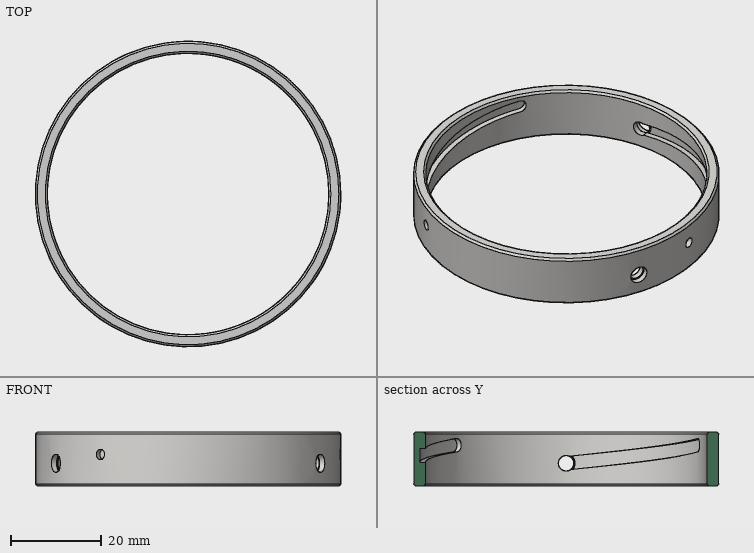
import cadquery as cq
import math

outer_radius = 33.8
inner_radius = 31.1
height = 12.0
edge_chamfer = 0.5

through_hole_angles = (90, 210, 330)
through_hole_z = 5.1
entry_diameter = 4.0
entry_depth = 1.35
exit_diameter = 3.4

blind_hole_angles = (115, 235, 355)
blind_hole_z = 7.0
blind_hole_diameter = 2.2
blind_hole_depth = 1.35

groove_sweep = 69
groove_rise = 4.0
groove_width = 3.0
groove_depth = 1.2


def sleeve(inside, outside):
    return cq.Workplane("XY").circle(outside).circle(inside).extrude(height)


def radial_cylinder(angle, z, diameter, start_radius, end_radius):
    """Cylinder pointing outward from the ring axis between two radii."""
    direction = cq.Vector(math.cos(math.radians(angle)), math.sin(math.radians(angle)), 0)
    base = direction * start_radius + cq.Vector(0, 0, z)
    return cq.Workplane(
        cq.Solid.makeCylinder(diameter / 2, end_radius - start_radius, base, direction)
    )


def stepped_hole(angle):
    step_radius = outer_radius - entry_depth
    clear_inside = inner_radius - groove_depth
    clear_outside = outer_radius + entry_depth
    entry = radial_cylinder(angle, through_hole_z, entry_diameter, step_radius, clear_outside)
    return entry.union(
        radial_cylinder(angle, through_hole_z, exit_diameter, clear_inside, clear_outside)
    )


def blind_hole(angle):
    floor_radius = outer_radius - blind_hole_depth
    clear_outside = outer_radius + blind_hole_depth
    return radial_cylinder(angle, blind_hole_z, blind_hole_diameter, floor_radius, clear_outside)


def helical_channel(hole_angle):
    """Channel that climbs clockwise from a through hole and clears the grooved layer."""
    pitch = groove_rise * 360 / groove_sweep
    path = cq.Wire.makeHelix(pitch, groove_rise, inner_radius, lefthand=True)
    channel = (
        cq.Workplane("XZ")
        .center(inner_radius, 0)
        .rect(4 * groove_depth, groove_width)
        .sweep(cq.Workplane(path), isFrenet=True)
    )
    return channel.rotate((0, 0, 0), (0, 0, 1), hole_angle).translate((0, 0, through_hole_z))


def groove_end(hole_angle):
    return radial_cylinder(
        hole_angle - groove_sweep,
        through_hole_z + groove_rise,
        groove_width,
        inner_radius - groove_depth,
        outer_radius,
    )


floor_radius = inner_radius + groove_depth
grooved_layer = sleeve(inner_radius, floor_radius)
for hole_angle in through_hole_angles:
    grooved_layer = grooved_layer.cut(helical_channel(hole_angle))
    grooved_layer = grooved_layer.cut(groove_end(hole_angle))

result = grooved_layer.union(sleeve(floor_radius, outer_radius))
result = result.faces("<Z or >Z").edges().chamfer(edge_chamfer)
for hole_angle in through_hole_angles:
    result = result.cut(stepped_hole(hole_angle))
for hole_angle in blind_hole_angles:
    result = result.cut(blind_hole(hole_angle))